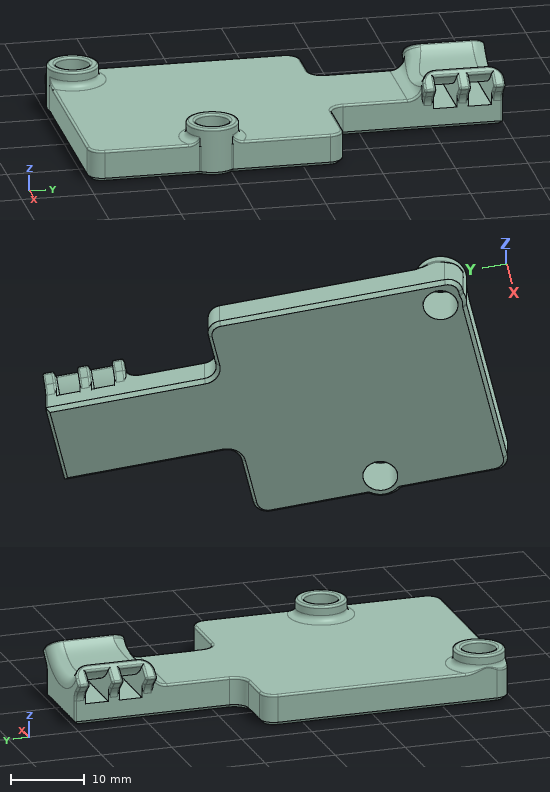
import cadquery as cq
import math

plate_thickness = 4.45
plate_left = -14.8
plate_right = 17.15
plate_length = 35.3
neck_half_width = 6.0
total_length = 59.4
corner_radius = 2.0
bottom_chamfer = 0.55
edge_round = 0.3

boss_radius = 7.1 / 2
hole_diameter = 4.7
boss_height = 6.8
boss_base_round = 1.0
boss_centers = [(-11.15, 3.4), (14.4, 17.45)]

saddle_height = 8.35
saddle_inner_radius = 6.8
saddle_outer_radius = 10.15
saddle_half_angle = math.radians(51)
saddle_length = 11.2
saddle_front = total_length - saddle_length
saddle_axis_z = saddle_height + saddle_inner_radius * math.cos(saddle_half_angle)
saddle_end_round = 2.0
foot_round = 2.0
flank_round = 2.0

slot_count = 2
slot_width = 3.2
slot_inner_radius = 7.9
slot_outer_radius = 14.9
slot_floor = 3.0
finger_width = (saddle_length - slot_count * slot_width) / (slot_count + 1)

mid_height = plate_thickness / 2
clearance = 3.0
overlap = 0.6
foot_extra_height = 0.3
tolerance = 0.005


def make_outline(top, bottom=0):
    """Plate and neck outline between two heights, with rounded plate corners."""
    outline = (
        cq.Workplane("XY", origin=(0, 0, bottom))
        .moveTo(plate_left, 0)
        .lineTo(plate_right, 0)
        .lineTo(plate_right, plate_length)
        .lineTo(neck_half_width, plate_length)
        .lineTo(neck_half_width, total_length)
        .lineTo(-neck_half_width, total_length)
        .lineTo(-neck_half_width, plate_length)
        .lineTo(plate_left, plate_length)
        .close()
        .extrude(top - bottom)
    )
    plate_corners = cq.selectors.BoxSelector(
        (plate_left - clearance, -clearance, 0),
        (plate_right + clearance, plate_length + clearance, top),
    )
    return outline.edges("|Z").edges(plate_corners).fillet(corner_radius)


def make_flare(center):
    """Concave foot that blends a boss into the top of the plate."""
    flare_top = plate_thickness + boss_base_round
    return (
        cq.Workplane("XZ", origin=(*center, 0))
        .lineTo(boss_radius + boss_base_round, 0)
        .lineTo(boss_radius + boss_base_round, plate_thickness)
        .radiusArc((boss_radius, flare_top), boss_base_round)
        .lineTo(0, flare_top)
        .close()
        .revolve(360, (0, 0, 0), (0, 1, 0))
    )


def make_foot(half_width, height):
    """Block under the saddle whose front face curves into the top of the neck."""
    foot_start = saddle_front - foot_round
    return (
        cq.Workplane("YZ", origin=(-half_width, 0, 0))
        .moveTo(total_length, overlap)
        .lineTo(foot_start - overlap, overlap)
        .lineTo(foot_start - overlap, plate_thickness)
        .lineTo(foot_start, plate_thickness)
        .radiusArc((saddle_front, plate_thickness + foot_round), -foot_round)
        .lineTo(saddle_front, height)
        .lineTo(total_length, height)
        .close()
        .extrude(2 * half_width)
    )


def make_upper_plate():
    """Upper half of the plate with boss flares and saddle foot, its top edges rounded."""
    walls = make_outline(boss_height, mid_height)
    upper = make_outline(plate_thickness, mid_height)
    for center in boss_centers:
        upper = upper.union(make_flare(center).intersect(walls))
    foot_height = plate_thickness + foot_round + foot_extra_height
    upper = upper.union(make_foot(neck_half_width, foot_height).intersect(walls))

    def is_top_edge(edge):
        middle = edge.Center()
        on_flare_lid = abs(middle.z - plate_thickness - boss_base_round) <= tolerance
        return middle.z > plate_thickness - tolerance and middle.y < saddle_front and not on_flare_lid

    top_edges = [edge for edge in upper.faces("#Z").edges().vals() if is_top_edge(edge)]
    return upper.newObject(top_edges).fillet(edge_round)


def make_lower_plate():
    """Full-depth walls of plate and bosses, blended where they meet and chamfered below."""
    wall_height = plate_thickness - edge_round
    lower = make_outline(wall_height)
    for center in boss_centers:
        lower = lower.union(cq.Workplane("XY").center(*center).circle(boss_radius).extrude(wall_height))

    def is_boss_corner(edge):
        middle = edge.Center()
        on_wall = abs(middle.y) < tolerance or abs(middle.x - plate_right) < tolerance
        return on_wall and any(
            abs(math.hypot(middle.x - x, middle.y - y) - boss_radius) < tolerance for x, y in boss_centers
        )

    corners = [edge for edge in lower.edges("|Z").vals() if is_boss_corner(edge)]
    lower = lower.newObject(corners).fillet(edge_round)
    return lower.faces("<Z").edges().chamfer(bottom_chamfer)


def make_body():
    """Plate, neck and hollow bosses."""
    body = make_lower_plate().union(make_upper_plate())
    holes = cq.Workplane("XY").pushPoints(boss_centers).circle(hole_diameter / 2).extrude(boss_height)
    body = body.cut(holes)
    tube = (
        cq.Workplane("XY")
        .circle(boss_radius)
        .circle(hole_diameter / 2)
        .extrude(boss_height - mid_height)
        .faces(">Z")
        .edges()
        .fillet(edge_round)
    )
    for center in boss_centers:
        body = body.union(tube.translate((*center, mid_height)))
    return body.faces(">Y").edges("|Z").fillet(edge_round)


def ring_point(radius, angle):
    """Point (x, z) at an angle from straight down, measured about the saddle axis."""
    return (radius * math.sin(angle), saddle_axis_z - radius * math.cos(angle))


def axial_cylinder(radius, y_start, y_end):
    return cq.Workplane("XZ", origin=(0, y_start, saddle_axis_z)).circle(radius).extrude(y_start - y_end)


def make_bore():
    """Space inside the saddle, widening smoothly at both ends."""
    block = make_foot(saddle_outer_radius, saddle_axis_z + 2 * overlap)
    bored = block.cut(
        axial_cylinder(saddle_inner_radius, saddle_front - clearance, total_length + clearance)
    )

    def is_rim(edge):
        on_bore = all(
            abs(math.hypot(point.x, point.z - saddle_axis_z) - saddle_inner_radius) < tolerance
            for point in edge.positions((0, 0.3, 0.6, 1))
        )
        runs_along_bore = abs(edge.tangentAt(0.5).y) > 0.95
        return on_bore and not runs_along_bore and edge.Center().z < saddle_axis_z + overlap

    rims = [edge for edge in bored.edges().vals() if is_rim(edge)]
    return block.cut(bored.newObject(rims).fillet(saddle_end_round))


def make_sector():
    """Solid sector of the saddle, with flanks blended into the sides of the neck."""
    blend_x = neck_half_width + flank_round
    blend_center_radius = saddle_outer_radius + flank_round
    blend_angle = math.asin(blend_x / blend_center_radius)
    blend_z = ring_point(blend_center_radius, blend_angle)[1]
    blend_turn = (math.pi / 2 + blend_angle) / 2
    blend_mid = (
        blend_x - flank_round * math.sin(blend_turn),
        blend_z + flank_round * math.cos(blend_turn),
    )
    blend_end = ring_point(saddle_outer_radius, blend_angle)
    outer_mid = ring_point(saddle_outer_radius, (blend_angle + saddle_half_angle) / 2)
    tip_outer = ring_point(saddle_outer_radius, saddle_half_angle)
    tip_inner = ring_point(saddle_inner_radius - overlap, saddle_half_angle)
    half = (
        cq.Workplane("XZ", origin=(0, total_length, 0))
        .moveTo(0, blend_z)
        .lineTo(neck_half_width, blend_z)
        .threePointArc(blend_mid, blend_end)
        .threePointArc(outer_mid, tip_outer)
        .lineTo(*tip_inner)
        .lineTo(0, tip_inner[1])
        .close()
        .extrude(saddle_length)
    )
    return half.union(half.mirror("YZ"))


def make_slot(index):
    """Ring-shaped cable-tie slot with a flat floor in the neck."""
    y_start = saddle_front + finger_width + index * (finger_width + slot_width)
    y_end = y_start + slot_width
    ring = axial_cylinder(slot_outer_radius, y_start, y_end).cut(
        axial_cylinder(slot_inner_radius, y_start, y_end)
    )
    above_floor = (
        cq.Workplane("XY", origin=(0, (y_start + y_end) / 2, slot_floor))
        .rect(2 * slot_outer_radius, 2 * slot_width)
        .extrude(2 * slot_outer_radius)
    )
    return ring.intersect(above_floor)


def round_saddle(saddle):
    """Round the edges of the two tip faces and the outer edges of the fingers."""

    def is_tip(face):
        normal = face.normalAt()
        return abs(abs(normal.x) - math.cos(saddle_half_angle)) < tolerance and normal.z > tolerance

    edges = [edge for face in saddle.faces("%PLANE").vals() if is_tip(face) for edge in face.Edges()]
    for edge in saddle.edges("%CIRCLE").vals():
        on_outside = abs(edge.radius() - saddle_outer_radius) < tolerance
        if on_outside and not any(edge.isSame(other) for other in edges):
            edges.append(edge)
    return saddle.newObject(edges).fillet(edge_round)


bore = make_bore()
body = make_body().cut(bore)
saddle = make_sector().cut(bore)
for slot_index in range(slot_count):
    slot = make_slot(slot_index)
    body = body.cut(slot)
    saddle = saddle.cut(slot)

result = body.union(round_saddle(saddle))